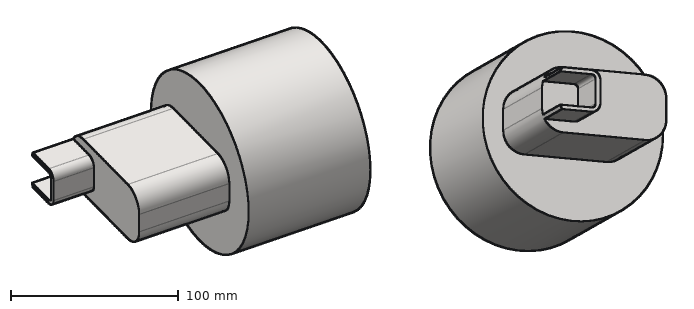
import cadquery as cq

body_diameter = 116.0
body_length = 84.0

block_width = 79.8
block_height = 40.0
block_length = 62.0
block_corner_radius = 13.5
block_center_x = -4.9

channel_length = 27.8
channel_height = 25.5
channel_flange_thickness = 2.6
channel_web_thickness = 3.1
channel_right_x = -18.6
channel_outer_radius = 5.7
channel_inner_radius = channel_outer_radius - channel_web_thickness

block_left_x = block_center_x - block_width / 2
body_front_y = -body_length
block_front_y = body_front_y - block_length


def front_plane(y):
    """XZ sketch plane at the given Y, extruding toward -Y."""
    return cq.Workplane("XZ", origin=(0, y, 0))


def rounded_block(back_y, length):
    return (
        front_plane(back_y)
        .center(block_center_x, 0)
        .rect(block_width, block_height)
        .extrude(length)
        .edges("|Y")
        .fillet(block_corner_radius)
    )


def channel_profile(right_x, height, radius):
    """Bar from the block's left side to right_x, rounded on its right corners."""
    width = right_x - block_left_x
    return (
        front_plane(block_front_y)
        .center(block_left_x + width / 2, 0)
        .rect(width, height)
        .extrude(channel_length)
        .edges("|Y and >X")
        .fillet(radius)
    )


def channel():
    outer = channel_profile(channel_right_x, channel_height, channel_outer_radius)
    inner = channel_profile(
        channel_right_x - channel_web_thickness,
        channel_height - 2 * channel_flange_thickness,
        channel_inner_radius,
    )
    return outer.cut(inner).intersect(rounded_block(block_front_y, channel_length))


body = front_plane(0).circle(body_diameter / 2).extrude(body_length)
block = rounded_block(body_front_y, block_length)

result = body.union(block).union(channel())